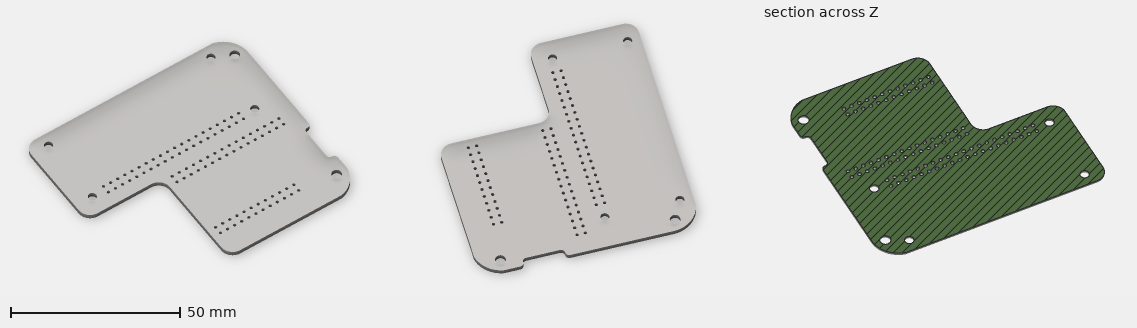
import cadquery as cq

width = 68.0
height = 74.33
thickness = 1.6

leg_width = 33.0
step_height = 27.1
lower_corner_radius = 4.0

upper_corner_radius = 9.0
upper_corner_drop = 6.9
upper_left_run = 8.2
upper_right_run = 7.3

notch_left = 41.65
notch_right = 54.5
notch_depth = 2.5
notch_radius = 1.2

upper_hole_diameter = 3.2
upper_hole_side_offset = 7.25
upper_hole_top_offset = 3.85
leg_hole_diameter = 2.7
leg_hole_x = 4.05
leg_hole_y = 6.15
leg_hole_spacing_x = 23.0
leg_hole_spacing_y = 58.0

pin_diameter = 1.0
pitch = 2.54
columns = 2
long_header_rows = 20
left_header_rows = 16
right_header_rows = 12
long_header_x = leg_hole_x + leg_hole_spacing_x - pitch / 2
long_header_y = leg_hole_y + (leg_hole_spacing_y - (long_header_rows - 1) * pitch) / 2
upper_headers_y = 29.9
left_header_x = 34.07
header_gap = 22.8
right_header_x = left_header_x + header_gap


def make_plate():
    """L-shaped plate with a notched upper edge and rounded corners."""
    notch_floor = height - notch_depth
    arc_foot = height - upper_corner_drop
    plate = (
        cq.Workplane("XY")
        .lineTo(leg_width, 0)
        .lineTo(leg_width, step_height)
        .lineTo(width, step_height)
        .lineTo(width, arc_foot)
        .radiusArc((width - upper_right_run, height), -upper_corner_radius)
        .lineTo(notch_right, height)
        .lineTo(notch_right, notch_floor)
        .lineTo(notch_left, notch_floor)
        .lineTo(notch_left, height)
        .lineTo(upper_left_run, height)
        .radiusArc((0, arc_foot), -upper_corner_radius)
        .close()
        .extrude(thickness)
    )
    lower_corners = [
        (0, 0),
        (leg_width, 0),
        (leg_width, step_height),
        (width, step_height),
    ]
    notch_corners = [(x, y) for x in (notch_left, notch_right) for y in (notch_floor, height)]
    plate = round_corners(plate, lower_corners, lower_corner_radius)
    return round_corners(plate, notch_corners, notch_radius)


def round_corners(plate, corners, radius):
    """Fillet the vertical edges standing at the given outline corners."""
    edges = cq.Workplane("XY")
    for x, y in corners:
        edge = plate.edges("|Z").edges(cq.selectors.NearestToPointSelector((x, y, thickness / 2)))
        edges = edges.add(edge)
    return plate.newObject(edges.vals()).fillet(radius)


def header_points(first_x, first_y, rows):
    """Pin positions of a two-column header, counted from its lower-left pin."""
    return [
        (first_x + column * pitch, first_y + row * pitch)
        for column in range(columns)
        for row in range(rows)
    ]


def drill(plate, points, diameter):
    """Cut round through holes at the given points."""
    drills = cq.Workplane("XY").pushPoints(points).circle(diameter / 2).extrude(thickness)
    return plate.cut(drills)


upper_hole_y = height - upper_hole_top_offset
upper_holes = [(x, upper_hole_y) for x in (upper_hole_side_offset, width - upper_hole_side_offset)]

leg_holes = [
    (x, y)
    for x in (leg_hole_x, leg_hole_x + leg_hole_spacing_x)
    for y in (leg_hole_y, leg_hole_y + leg_hole_spacing_y)
]

pin_holes = (
    header_points(long_header_x, long_header_y, long_header_rows)
    + header_points(left_header_x, upper_headers_y, left_header_rows)
    + header_points(right_header_x, upper_headers_y, right_header_rows)
)

result = make_plate()
result = drill(result, upper_holes, upper_hole_diameter)
result = drill(result, leg_holes, leg_hole_diameter)
result = drill(result, pin_holes, pin_diameter)